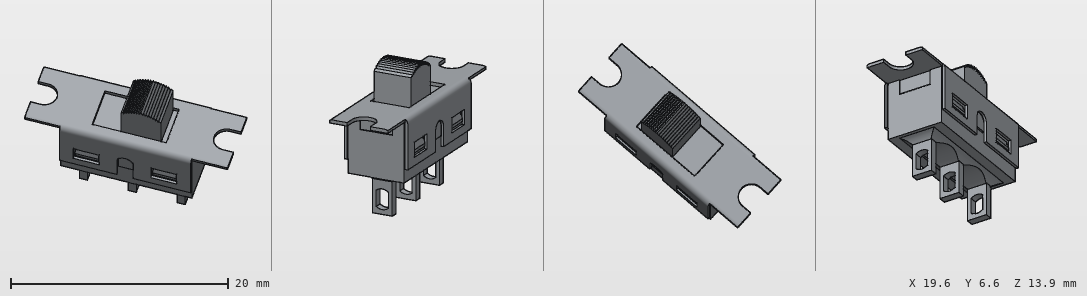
import cadquery as cq
import math


FLANGE_LENGTH = 19.56
FLANGE_SHIFT = 0.02
FLANGE_THICKNESS = 0.35
BRACKET_WIDTH = 6.6
WALL_THICKNESS = 0.27
WALL_BOTTOM = -5.0
BEND_RADIUS = 0.59
NOTCH_DIAMETER = 2.4
NOTCH_CENTER_X = 8.78
OPENING_LENGTH = 7.14
OPENING_WIDTH = 4.0

BODY_LENGTH = 12.65
BODY_WIDTH = 5.83
BODY_BOTTOM = -6.35
END_RECESS_WIDTH = 3.36
END_RECESS_BOTTOM = -1.88
END_RECESS_DEPTH = 0.12

KEY_WIDTH = 1.47
KEY_TOP = -2.23
KEY_BOTTOM = -3.95
KEY_HEIGHT = 0.18
KEY_SLOT_WIDTH = 1.58
KEY_SLOT_TOP = -2.21

LATCH_X = 3.74
WINDOW_LENGTH = 2.5
WINDOW_TOP = -2.7
WINDOW_BOTTOM = -4.19
LATCH_LENGTH = 2.25
LATCH_TOP = -2.88
LATCH_RIDGE = -3.58
LATCH_BOTTOM = -3.87
LATCH_HEIGHT = 0.23

KNOB_X = 1.11
KNOB_LENGTH = 3.83
KNOB_WIDTH = 3.85
KNOB_SHOULDER = 2.74
KNOB_TOP = 3.56
TEETH_PER_SIDE = 7
OUTER_CREST_X = 1.72
TOOTH_PITCH = OUTER_CREST_X / TEETH_PER_SIDE
TOOTH_UNDERCUT = 0.05
CREST_RADIUS = 2.8
ROOT_TOP = 3.27
ROOT_RADIUS = 3.03

PIN_PITCH = 4.71
PIN_THICKNESS = 0.78
PIN_WIDTH = 2.07
PIN_BOTTOM = -10.3
PIN_HOLE_DIAMETER = 2.01
PIN_HOLE_WIDTH = 1.25
PIN_HOLE_Z = -8.82
RESIN_LENGTH = 11.9
RESIN_WIDTH = 3.75
RESIN_BOTTOM = -6.95
RESIN_SADDLE = -6.53
RESIN_FOOT_WIDTH = 2.0
RESIN_SAG = 0.08

EMBED = 0.2


def box(length, width, bottom, top, x=0.0):
    """Box centred at (x, 0) that spans bottom to top along Z."""
    return cq.Workplane("XY", origin=(x, 0, bottom)).rect(length, width).extrude(top - bottom)


def along_x(points, length):
    """Closed YZ polygon extruded along X, centred on X = 0."""
    return cq.Workplane("YZ").polyline(points).close().extrude(length / 2, both=True)


def arch(width, top, bottom, inner_y, outer_y):
    """Round-topped block on the -Y side, between two distances from the XZ plane."""
    half = width / 2
    spring = top - half
    return (
        cq.Workplane("XZ", origin=(0, -inner_y, 0))
        .moveTo(-half, bottom)
        .lineTo(-half, spring)
        .threePointArc((0, top), (half, spring))
        .lineTo(half, bottom)
        .close()
        .extrude(outer_y - inner_y)
    )


def both_sides(shape):
    """Shape together with its mirror image across the XZ plane."""
    return shape.union(shape.mirror("XZ"))


def make_bracket():
    inner_width = BRACKET_WIDTH - 2 * WALL_THICKNESS
    bent_strip = (
        box(FLANGE_LENGTH, BRACKET_WIDTH, WALL_BOTTOM, 0, FLANGE_SHIFT)
        .edges("|X and >Z")
        .fillet(BEND_RADIUS)
        .cut(box(FLANGE_LENGTH, inner_width, WALL_BOTTOM, -FLANGE_THICKNESS, FLANGE_SHIFT))
    )
    flange_blank = box(FLANGE_LENGTH, inner_width, WALL_BOTTOM, 0, FLANGE_SHIFT)
    wall_blank = box(BODY_LENGTH, BRACKET_WIDTH, WALL_BOTTOM, 0)
    bracket = bent_strip.intersect(flange_blank.union(wall_blank))

    bracket = bracket.cut(box(OPENING_LENGTH, OPENING_WIDTH, -FLANGE_THICKNESS, 0))
    for side in (-1, 1):
        notch_x = side * NOTCH_CENTER_X
        round_end = (
            cq.Workplane("XY", origin=(notch_x, 0, -FLANGE_THICKNESS))
            .circle(NOTCH_DIAMETER / 2)
            .extrude(FLANGE_THICKNESS)
        )
        mouth_x = notch_x + side * NOTCH_DIAMETER / 2
        mouth = box(NOTCH_DIAMETER, NOTCH_DIAMETER, -FLANGE_THICKNESS, 0, mouth_x)
        window = box(WINDOW_LENGTH, BRACKET_WIDTH, WINDOW_BOTTOM, WINDOW_TOP, side * LATCH_X)
        bracket = bracket.cut(round_end).cut(mouth).cut(window)

    slot = arch(KEY_SLOT_WIDTH, KEY_SLOT_TOP, WALL_BOTTOM, inner_width / 2, BRACKET_WIDTH / 2)
    return bracket.cut(both_sides(slot))


def make_body():
    body = box(BODY_LENGTH, BODY_WIDTH, BODY_BOTTOM, -FLANGE_THICKNESS)
    for side in (-1, 1):
        recess_x = side * (BODY_LENGTH - END_RECESS_DEPTH) / 2
        body = body.cut(
            box(END_RECESS_DEPTH, END_RECESS_WIDTH, END_RECESS_BOTTOM, -FLANGE_THICKNESS, recess_x)
        )

    face_y = BODY_WIDTH / 2
    key = arch(KEY_WIDTH, KEY_TOP, KEY_BOTTOM, face_y - EMBED, face_y + KEY_HEIGHT)
    latch_profile = [
        (-face_y + EMBED, LATCH_TOP),
        (-face_y, LATCH_TOP),
        (-face_y - LATCH_HEIGHT, LATCH_RIDGE),
        (-face_y - LATCH_HEIGHT, LATCH_BOTTOM),
        (-face_y + EMBED, LATCH_BOTTOM),
    ]
    latch = along_x(latch_profile, LATCH_LENGTH)
    details = key.union(latch.translate((-LATCH_X, 0, 0))).union(latch.translate((LATCH_X, 0, 0)))
    return body.union(both_sides(details))


def arc_height(x, top, radius):
    """Height at x of a circle that peaks at x = 0."""
    return top - radius + math.sqrt(radius**2 - x**2)


def make_knob():
    half_teeth = []
    for i in range(1, TEETH_PER_SIDE + 1):
        crest_x = i * TOOTH_PITCH
        root_x = crest_x - TOOTH_UNDERCUT
        half_teeth.append((root_x, arc_height(root_x, ROOT_TOP, ROOT_RADIUS)))
        half_teeth.append((crest_x, arc_height(crest_x, KNOB_TOP, CREST_RADIUS)))

    bottom = -FLANGE_THICKNESS - EMBED
    half_outline = half_teeth + [(KNOB_LENGTH / 2, KNOB_SHOULDER), (KNOB_LENGTH / 2, bottom)]
    mirrored = [(-x, z) for x, z in reversed(half_outline)]
    outline = mirrored + [(0, KNOB_TOP)] + half_outline
    return (
        cq.Workplane("XZ", origin=(KNOB_X, 0, 0))
        .polyline(outline)
        .close()
        .extrude(KNOB_WIDTH / 2, both=True)
    )


def make_pin(x):
    pin = box(PIN_THICKNESS, PIN_WIDTH, PIN_BOTTOM, BODY_BOTTOM + EMBED, x)
    round_hole = (
        cq.Workplane("YZ", origin=(x, 0, PIN_HOLE_Z))
        .circle(PIN_HOLE_DIAMETER / 2)
        .extrude(PIN_THICKNESS, both=True)
    )
    hole = round_hole.intersect(box(PIN_THICKNESS, PIN_HOLE_WIDTH, PIN_BOTTOM, BODY_BOTTOM, x))
    return pin.cut(hole)


def make_resin():
    middle_z = (BODY_BOTTOM + RESIN_BOTTOM) / 2 + RESIN_SAG
    top = BODY_BOTTOM + EMBED
    half_pin = PIN_THICKNESS / 2

    end_x = RESIN_LENGTH / 2
    foot_x = PIN_PITCH + half_pin
    flare_x = (end_x + foot_x) / 2
    lengthwise = (
        cq.Workplane("XZ")
        .moveTo(-end_x, top)
        .lineTo(-end_x, BODY_BOTTOM)
        .threePointArc((-flare_x, middle_z), (-foot_x, RESIN_BOTTOM))
    )
    for pin_x in (-PIN_PITCH, 0):
        lengthwise = lengthwise.lineTo(pin_x + half_pin, RESIN_BOTTOM).threePointArc(
            (pin_x + PIN_PITCH / 2, RESIN_SADDLE), (pin_x + PIN_PITCH - half_pin, RESIN_BOTTOM)
        )
    lengthwise = (
        lengthwise.lineTo(foot_x, RESIN_BOTTOM)
        .threePointArc((flare_x, middle_z), (end_x, BODY_BOTTOM))
        .lineTo(end_x, top)
        .close()
        .extrude(RESIN_WIDTH, both=True)
    )

    edge_y = RESIN_WIDTH / 2
    foot_y = RESIN_FOOT_WIDTH / 2
    flare_y = (edge_y + foot_y) / 2
    crosswise = (
        cq.Workplane("YZ")
        .moveTo(-edge_y, top)
        .lineTo(-edge_y, BODY_BOTTOM)
        .threePointArc((-flare_y, middle_z), (-foot_y, RESIN_BOTTOM))
        .lineTo(foot_y, RESIN_BOTTOM)
        .threePointArc((flare_y, middle_z), (edge_y, BODY_BOTTOM))
        .lineTo(edge_y, top)
        .close()
        .extrude(RESIN_LENGTH, both=True)
    )
    return lengthwise.intersect(crosswise)


result = make_body().union(make_bracket()).union(make_knob()).union(make_resin())
for pin_x in (-PIN_PITCH, 0, PIN_PITCH):
    result = result.union(make_pin(pin_x))